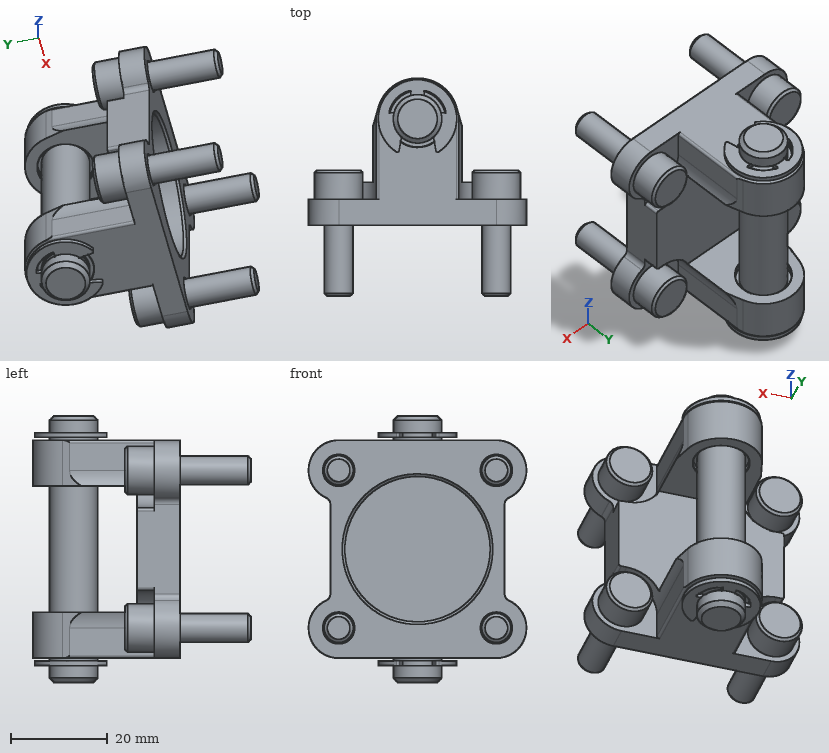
import cadquery as cq
import math

PLATE_SIZE = 45.0
PLATE_THICKNESS = 5.4
SCREW_SPACING = 32.5
WAIST_WIDTH = 35.95
WAIST_FILLET = 1.5
BLOCK_TOP = 8.9

POCKET_DIAMETER = 30.0
POCKET_DEPTH = 5.0
POCKET_CHAMFER = 0.55

PIN_HEIGHT = 21.95
ARM_END_RADIUS = 8.4
ARM_THICKNESS = 9.5
ARM_FLARE_ANGLE = math.radians(16)

RECESS_RADIUS = 7.75
RECESS_EDGE_RADIUS = 0.55

COUNTERBORE_DIAMETER = 11.6
COUNTERBORE_DEPTH = 1.25
RIM_DIAMETER = 11.8

PIN_DIAMETER = 10.0
PIN_LENGTH = 55.0
PIN_CHAMFER = 0.95
GROOVE_DIAMETER = 8.0

CLIP_RADIUS = 8.1
CLIP_THICKNESS = 1.0
CLIP_GAP = 0.55
WINDOW_RADIUS = 6.05
TOP_TAB_HALF_WIDTH = 1.4
SIDE_TAB_TOP = 1.2
WINDOW_CORNER_RADIUS = 0.3
MOUTH_HALF_WIDTH = 2.65
MOUTH_ANGLE = math.radians(10)
TIP_RADIUS = 0.4

SCREW_DIAMETER = 6.0
SCREW_CLEARANCE_DIAMETER = 6.6
SCREW_LENGTH = 20.0
SCREW_TIP_CHAMFER = 0.65
HEAD_DIAMETER = 10.0
HEAD_HEIGHT = 6.0
HEAD_CHAMFER = 0.55

SELECT_MARGIN = 0.55

half_size = PLATE_SIZE / 2
half_spacing = SCREW_SPACING / 2
half_waist = WAIST_WIDTH / 2
arm_inner_z = half_size - ARM_THICKNESS
clip_z = half_size + CLIP_GAP
rim_chamfer = (RIM_DIAMETER - COUNTERBORE_DIAMETER) / 2
screw_centers = [(x, z) for x in (-half_spacing, half_spacing) for z in (-half_spacing, half_spacing)]


def xz_plane(y):
    """Plane at height y with local axes -X and Z and normal +Y."""
    return cq.Plane(origin=(0, y, 0), xDir=(-1, 0, 0), normal=(0, 1, 0))


def both_ends(solid):
    """The solid and its mirror image at the other end of the pin."""
    return [solid, solid.mirror("XY")]


def make_plate():
    """Waisted plate with a round lug about each screw."""
    plate = cq.Workplane(xz_plane(0)).rect(WAIST_WIDTH, SCREW_SPACING).extrude(PLATE_THICKNESS)
    lug_radius = half_size - half_spacing
    for z in (-half_spacing, half_spacing):
        lugs = (
            cq.Workplane(xz_plane(0))
            .center(0, z)
            .slot2D(PLATE_SIZE, 2 * lug_radius)
            .extrude(PLATE_THICKNESS)
        )
        plate = plate.union(lugs)
    neck_drop = math.sqrt(lug_radius**2 - (half_spacing - half_waist) ** 2)
    neck_z = half_spacing - neck_drop
    near_necks = cq.selectors.BoxSelector(
        (-half_size, -SELECT_MARGIN, -neck_z - SELECT_MARGIN),
        (half_size, PLATE_THICKNESS + SELECT_MARGIN, neck_z + SELECT_MARGIN),
    )
    return plate.edges("|Y").edges(near_necks).fillet(WAIST_FILLET)


def make_arm():
    """Upper arm: round end about the pin, with flanks that flare toward the plate."""
    tangent_x = ARM_END_RADIUS * math.cos(ARM_FLARE_ANGLE)
    tangent_y = PIN_HEIGHT + ARM_END_RADIUS * math.sin(ARM_FLARE_ANGLE)
    foot_x = tangent_x + (tangent_y - PLATE_THICKNESS) * math.tan(ARM_FLARE_ANGLE)
    return (
        cq.Workplane("XY", origin=(0, 0, arm_inner_z))
        .moveTo(-foot_x, PLATE_THICKNESS)
        .lineTo(foot_x, PLATE_THICKNESS)
        .lineTo(tangent_x, tangent_y)
        .threePointArc((0, PIN_HEIGHT + ARM_END_RADIUS), (-tangent_x, tangent_y))
        .close()
        .extrude(ARM_THICKNESS)
    )


def make_head_recess():
    """Cutter for the -X, +Z corner: open outward, round about the screw, with rounded outer edges."""
    wall = half_spacing - RECESS_RADIUS
    diagonal = math.sqrt(0.5)
    arc_mid = half_spacing - RECESS_RADIUS * diagonal
    edge = RECESS_EDGE_RADIUS
    edge_mid = edge * (1 - diagonal)
    return (
        cq.Workplane(xz_plane(PLATE_THICKNESS))
        .moveTo(wall - edge, half_size)
        .threePointArc((wall - edge_mid, half_size - edge_mid), (wall, half_size - edge))
        .lineTo(wall, half_spacing)
        .threePointArc((arc_mid, arc_mid), (half_spacing, wall))
        .lineTo(half_waist - edge, wall)
        .threePointArc((half_waist - edge_mid, wall - edge_mid), (half_waist, wall - edge))
        .lineTo(half_size, wall - edge)
        .lineTo(half_size, half_size)
        .close()
        .extrude(PIN_HEIGHT + ARM_END_RADIUS)
    )


def make_rim_cone():
    """Shallow 45 degree cone that is widest at Z = 0."""
    return (
        cq.Workplane("XY", origin=(0, PIN_HEIGHT, 0))
        .circle(RIM_DIAMETER / 2)
        .workplane(offset=rim_chamfer)
        .circle(COUNTERBORE_DIAMETER / 2)
        .loft()
    )


def make_pin_hole_rims():
    """Cutters for the upper arm: inner counterbore and shallow outer recess about the pin."""
    pin_axis = cq.Workplane("XY").center(0, PIN_HEIGHT)
    counterbore = (
        pin_axis.workplane(offset=arm_inner_z)
        .circle(COUNTERBORE_DIAMETER / 2)
        .extrude(COUNTERBORE_DEPTH)
    )
    inner_rim = make_rim_cone().translate((0, 0, arm_inner_z))
    outer_rim = make_rim_cone().mirror("XY").translate((0, 0, half_size))
    return [counterbore, inner_rim, outer_rim]


def make_pocket():
    """Cutter for the round front pocket with its chamfered mouth."""
    radius = POCKET_DIAMETER / 2
    return (
        cq.Workplane("XY")
        .polyline([
            (0, 0),
            (radius + POCKET_CHAMFER, 0),
            (radius, POCKET_CHAMFER),
            (radius, POCKET_DEPTH),
            (0, POCKET_DEPTH),
        ])
        .close()
        .revolve(360, (0, 0, 0), (0, 1, 0))
    )


def make_housing():
    """Flange plate, raised block and two clevis arms as one solid."""
    block_height = BLOCK_TOP - PLATE_THICKNESS
    housing = cq.Workplane(xz_plane(PLATE_THICKNESS)).rect(WAIST_WIDTH, PLATE_SIZE).extrude(block_height)
    for arm in both_ends(make_arm()):
        housing = housing.union(arm)
    for recess in both_ends(make_head_recess()):
        housing = housing.cut(recess).cut(recess.mirror("YZ"))
    housing = housing.union(make_plate())

    pin_hole = (
        cq.Workplane("XY")
        .center(0, PIN_HEIGHT)
        .circle(PIN_DIAMETER / 2)
        .extrude(half_size, both=True)
    )
    housing = housing.cut(pin_hole)
    for rim in make_pin_hole_rims():
        for cutter in both_ends(rim):
            housing = housing.cut(cutter)

    screw_holes = (
        cq.Workplane(xz_plane(0))
        .pushPoints(screw_centers)
        .circle(SCREW_CLEARANCE_DIAMETER / 2)
        .extrude(PLATE_THICKNESS)
    )
    return housing.cut(screw_holes).cut(make_pocket())


def make_pin():
    """Chamfered pin with a clip groove near each end."""
    pin = (
        cq.Workplane("XY")
        .center(0, PIN_HEIGHT)
        .circle(PIN_DIAMETER / 2)
        .extrude(PIN_LENGTH / 2, both=True)
        .faces("|Z")
        .chamfer(PIN_CHAMFER)
    )
    groove = (
        cq.Workplane("XY", origin=(0, PIN_HEIGHT, clip_z))
        .circle(PIN_DIAMETER / 2)
        .circle(GROOVE_DIAMETER / 2)
        .extrude(CLIP_THICKNESS)
    )
    for cutter in both_ends(groove):
        pin = pin.cut(cutter)
    return pin


def make_clip():
    """E-clip for the upper groove, with its mouth toward the plate."""
    base = cq.Workplane("XY", origin=(0, PIN_HEIGHT, clip_z))
    ring = base.circle(CLIP_RADIUS).extrude(CLIP_THICKNESS)

    mouth_end = CLIP_RADIUS
    mouth_end_half_width = MOUTH_HALF_WIDTH + mouth_end * math.tan(MOUTH_ANGLE)
    mouth = (
        base.polyline([
            (-MOUTH_HALF_WIDTH, 0),
            (MOUTH_HALF_WIDTH, 0),
            (mouth_end_half_width, -mouth_end),
            (-mouth_end_half_width, -mouth_end),
        ])
        .close()
        .extrude(CLIP_THICKNESS)
    )
    ring = ring.cut(mouth)
    tips = cq.selectors.BoxSelector(
        (-CLIP_RADIUS, PIN_HEIGHT - CLIP_RADIUS, clip_z - SELECT_MARGIN),
        (CLIP_RADIUS, PIN_HEIGHT - GROOVE_DIAMETER / 2, clip_z + CLIP_THICKNESS + SELECT_MARGIN),
    )
    ring = ring.edges("|Z").edges(tips).fillet(TIP_RADIUS)

    quadrant = (
        base.moveTo(TOP_TAB_HALF_WIDTH, SIDE_TAB_TOP)
        .rect(WINDOW_RADIUS, WINDOW_RADIUS, centered=False)
        .extrude(CLIP_THICKNESS)
    )
    window = base.circle(WINDOW_RADIUS).extrude(CLIP_THICKNESS).intersect(quadrant)
    window = window.edges("|Z").fillet(WINDOW_CORNER_RADIUS)
    bore = base.circle(GROOVE_DIAMETER / 2).extrude(CLIP_THICKNESS)
    return ring.cut(bore).cut(window).cut(window.mirror("YZ"))


def make_screw(x, z):
    """Cylinder-head screw along Y with its head seated on the back of the plate."""
    head = (
        cq.Workplane(xz_plane(PLATE_THICKNESS))
        .circle(HEAD_DIAMETER / 2)
        .extrude(HEAD_HEIGHT)
        .faces(">Y")
        .chamfer(HEAD_CHAMFER)
    )
    shank = (
        cq.Workplane(xz_plane(PLATE_THICKNESS))
        .circle(SCREW_DIAMETER / 2)
        .extrude(-SCREW_LENGTH)
        .faces("<Y")
        .chamfer(SCREW_TIP_CHAMFER)
    )
    return head.union(shank).translate((x, 0, z))


housing = make_housing()
pin = make_pin()
clips = both_ends(make_clip())
screws = [make_screw(x, z) for x, z in screw_centers]

result = cq.Compound.makeCompound([
    housing.val(),
    pin.val(),
    *[clip.val() for clip in clips],
    *[screw.val() for screw in screws],
])